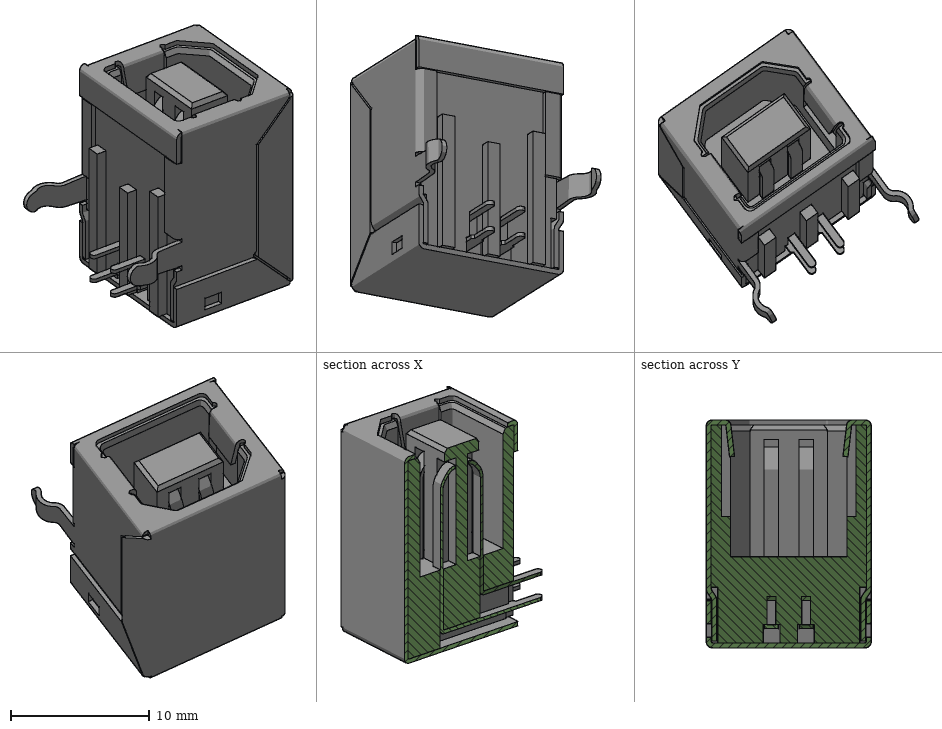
import cadquery as cq
import math


shell_width = 11.95
shell_depth = 10.63
shell_height = 16.5
wall = 0.38
bend_radius = 0.48
inner_bend = bend_radius - wall
half_width = shell_width / 2
inner_half_width = half_width - wall
inner_top = shell_height - wall
fold_gap = 0.07

coincident = 1.65e-07

flap_bottom = 13.96
return_edge_x = 4.49
return_bottom = 7.49

leg_z = 6.22
leg_root_half = 0.998
leg_end_half = 0.82
leg_end_y = -4.57
relief_bottom = 4.87

seam_width = 0.15
seam_y = 7.15
seam_corner_y = 10.15
seam_low_z = 3.48
seam_high_z = 13.08
overlap_z = 3.4
jog_start_z = 4.12
jog_end_z = 3.51
jog_bend = 0.25
jog_bottom = 0.5
layer_gap = 0.02
window_y = 3.27
window_z = 1.27
window_length = 1.5
window_height = 0.95

opening_half_width = 4.64
opening_low_y = 1.0
opening_high_y = 9.6
opening_chamfer_x = 2.77
opening_chamfer_y = 7.74
opening_corner = 0.48
chamfer_corner = 0.2

notch_radius = 0.21
notch_ys = (2.46, 6.48)
tab_low_y = notch_ys[0] + notch_radius
tab_high_y = notch_ys[1] - notch_radius
tab_kink_z = 15.97
tab_kink_bend = 0.08
tab_lean = 0.25
tab_bottom = 13.86

cavity_half_width = 4.2
cavity_low_y = 1.42
cavity_high_y = 9.15
cavity_chamfer_x = 2.57
cavity_chamfer_y = 7.5
mouth_chamfer = 0.21
mouth_depth = 0.43
cavity_floor = 6.6
cavity_corner = 0.33
tab_slot_depth = 6.6
tongue_half_width = 2.79
tongue_low_y = 3.65
tongue_high_y = 6.88
tongue_top = 16.1
tongue_chamfer = 0.25
tongue_chamfer_height = 0.33
tongue_y = (tongue_low_y + tongue_high_y) / 2
tongue_slot_top = 15.06
tongue_slot_depth = 1.07

rib_width = 1.02
rib_front_y = -0.41
rib_spacing = 3.73
outer_rib_top = 10.5
middle_rib_top = 9.03
side_pocket_x = 5.15
side_pocket_top = 4.39
tail_slot_width = 1.2
tail_slot_x = 1.24

contact_x = 1.262
contact_width = 1.02
contact_thickness = 0.3
contact_bend = 0.41
contact_bulge = 0.4
stem_distance = tongue_y - tongue_low_y + contact_bulge
lower_stem_y = tongue_y + stem_distance
upper_stem_y = tongue_y - stem_distance + contact_thickness
hook_z = 14.52
bulge_z = 13.4
hook_reach = 1.4
hook_bend_reach = 0.92
hook_bend = 0.99
bulge_bend = 1.48
tail_width = 0.61
tail_end_y = -2.43
upper_tail_z = 3.7
lower_tail_z = 1.68
lower_shoulder_y = -0.2
upper_shoulder_y = upper_stem_y - contact_thickness
shoulder_taper = 0.13


def unit(start, end):
    """Direction from start to end as a unit vector."""
    length = math.dist(start, end)
    return ((end[0] - start[0]) / length, (end[1] - start[1]) / length)


def sheet_face(path, bends, offset):
    """Lines and arcs of one sheet face, offset to the left of a path with a bend radius per corner.

    Returns the start point, the bends as (tangent, middle, tangent) points, and the end point.
    """
    directions = [unit(a, b) for a, b in zip(path, path[1:])]

    def shifted(point, direction):
        return (point[0] - offset * direction[1], point[1] + offset * direction[0])

    arcs = []
    for corner, before, after, bend in zip(path[1:], directions, directions[1:], bends):
        cross = before[0] * after[1] - before[1] * after[0]
        dot = before[0] * after[0] + before[1] * after[1]
        half_turn = math.atan2(cross, dot) / 2
        slide = offset * math.tan(half_turn)
        vertex = shifted(corner, before)
        vertex = (vertex[0] - slide * before[0], vertex[1] - slide * before[1])
        radius = bend - math.copysign(1, half_turn) * offset
        tangent = radius * math.tan(abs(half_turn))
        inward = unit(before, after)
        sagitta = radius / math.cos(half_turn) - radius
        arcs.append((
            (vertex[0] - tangent * before[0], vertex[1] - tangent * before[1]),
            (vertex[0] + sagitta * inward[0], vertex[1] + sagitta * inward[1]),
            (vertex[0] + tangent * after[0], vertex[1] + tangent * after[1]),
        ))
    return shifted(path[0], directions[0]), arcs, shifted(path[-1], directions[-1])


def bent_sheet(plane, path, bends, thickness, low, high):
    """Sheet strip whose profile follows a path, lying to its left, from low to high across the plane."""
    start, arcs, end = sheet_face(path, bends, 0)
    back_start, back_arcs, back_end = sheet_face(path, bends, thickness)
    profile = cq.Workplane(plane).moveTo(*start)
    here = start
    for first, middle, last in arcs:
        if math.dist(here, first) > coincident:
            profile = profile.lineTo(*first)
        profile = profile.threePointArc(middle, last)
        here = last
    profile = profile.lineTo(*end).lineTo(*back_end)
    here = back_end
    for first, middle, last in reversed(back_arcs):
        if math.dist(here, last) > coincident:
            profile = profile.lineTo(*last)
        profile = profile.threePointArc(middle, first)
        here = first
    if math.dist(here, back_start) > coincident:
        profile = profile.lineTo(*back_start)
    profile = profile.close()
    strip = profile.extrude(high - low)
    return strip.translate(profile.plane.zDir * low)


def block(x_range, y_range, z_range):
    """Box between two limits along each axis."""
    sizes = [limits[1] - limits[0] for limits in (x_range, y_range, z_range)]
    corner = (x_range[0], y_range[0], z_range[0])
    return cq.Workplane("XY").box(*sizes, centered=False).translate(corner)


def both_sides(left):
    """A feature on the -X side together with its mirror image on the +X side."""
    return left.union(left.mirror("YZ"))


def plug_prism(half, low, high, chamfer_x, chamfer_y, bottom, top):
    """Sharp-edged prism shaped like the plug: a rectangle whose two rear corners are cut off."""
    outline = [
        (-half, low),
        (half, low),
        (half, chamfer_y),
        (chamfer_x, high),
        (-chamfer_x, high),
        (-half, chamfer_y),
    ]
    return cq.Workplane("XY", origin=(0, 0, bottom)).polyline(outline).close().extrude(top - bottom)



def folded_box():
    """Five walls with rounded bends, open on the mounting face."""
    outer = block((-half_width, half_width), (0, shell_depth), (0, shell_height))
    outer = outer.edges("|Y or >Y").fillet(bend_radius)
    return outer.cut(shell_inside(-0.16))


def shell_inside(front_y):
    """Space inside the shell walls from front_y back to the rear wall."""
    inside = block(
        (-inner_half_width, inner_half_width), (front_y, shell_depth - wall), (wall, inner_top)
    )
    return inside.edges("|Y or >Y").fillet(inner_bend)


def corner_reliefs():
    """Notches at the four rear corners, where the bends of three walls would meet."""
    low = (-0.16, bend_radius)
    high = (shell_height - bend_radius, shell_height + 0.16)
    side = (-half_width - 0.16, -half_width + bend_radius)
    rear = (shell_depth - bend_radius, shell_depth + 0.16)
    return both_sides(block(side, rear, low).union(block(side, rear, high)))


def front_trim():
    """Material removed along the front edges where the folds and leg reliefs replace it."""
    beyond = half_width + 0.16
    upper = block((-beyond, beyond), (-0.16, bend_radius), (return_bottom, shell_height + 0.16))
    relief = block((-beyond, beyond), (-0.16, bend_radius), (relief_bottom, return_bottom))
    return upper.union(relief)


def front_folds():
    """Flap folded down from the top wall and returns folded in from the side walls."""
    flap_path = [(bend_radius, shell_height), (0, shell_height), (0, flap_bottom)]
    flap = bent_sheet("YZ", flap_path, [bend_radius], wall, -half_width, half_width)
    return_path = [(-half_width, bend_radius), (-half_width, 0), (-return_edge_x, 0)]
    side_return = bent_sheet(
        "XY", return_path, [bend_radius], wall, return_bottom, flap_bottom - fold_gap
    )
    return flap, both_sides(side_return)


def legs():
    """Kinked snap-in legs that continue the side walls and taper to a round end."""
    path = [
        (-half_width, bend_radius),
        (-half_width, -1.78),
        (-7.38, -2.6),
        (-6.55, -3.88),
        (-6.55, leg_end_y),
    ]
    strip = bent_sheet("XY", path, [0.53, 1.25, 0.48], wall, leg_z - leg_root_half, leg_z + leg_root_half)
    outline = (
        cq.Workplane("YZ")
        .moveTo(bend_radius, leg_z - leg_root_half)
        .lineTo(0, leg_z - leg_root_half)
        .lineTo(leg_end_y + leg_end_half, leg_z - leg_end_half)
        .threePointArc((leg_end_y, leg_z), (leg_end_y + leg_end_half, leg_z + leg_end_half))
        .lineTo(0, leg_z + leg_root_half)
        .lineTo(bend_radius, leg_z + leg_root_half)
        .close()
        .extrude(shell_width, both=True)
    )
    return both_sides(strip.intersect(outline))


def side_seams():
    """Gaps between each side wall and the trapezoidal tab folded onto it from the rear wall."""
    outline = [
        (shell_depth, seam_high_z + shell_depth - seam_y),
        (seam_y, seam_high_z),
        (seam_y, seam_low_z),
        (shell_depth, seam_low_z - shell_depth + seam_y),
    ]
    around = cq.Workplane("YZ", origin=(-half_width, 0, 0)).polyline(outline).close()
    tab = around.offset2D(-seam_width, "intersection").extrude(wall)
    around = cq.Workplane("YZ", origin=(-half_width, 0, 0)).polyline(outline).close().extrude(wall)
    flat = block((-half_width, 0), (0, seam_corner_y), (bend_radius, shell_height - bend_radius))
    return both_sides(around.cut(tab).intersect(flat))


def overlap_trim():
    """Part of the side walls replaced by the inward jog above the bottom flaps."""
    return both_sides(
        block((-half_width - 0.16, -inner_half_width), (-0.16, seam_y), (overlap_z, jog_start_z + jog_bend))
    )


def side_jogs():
    """Lower ends of the side walls, stepped inward to pass behind the bottom flaps."""
    inner_x = -inner_half_width + layer_gap
    path = [
        (-half_width, jog_start_z + jog_bend),
        (-half_width, jog_start_z),
        (inner_x, jog_end_z),
        (inner_x, jog_bottom),
    ]
    jog = bent_sheet("XZ", path, [jog_bend + wall, jog_bend], wall, -seam_y, 0)
    return both_sides(jog)


def flap_windows():
    """Rectangular windows in the bottom flaps."""
    y = (window_y - window_length / 2, window_y + window_length / 2)
    z = (window_z - window_height / 2, window_z + window_height / 2)
    return both_sides(block((-half_width - 0.16, -inner_half_width), y, z))


def shell_opening():
    """Plug opening in the top wall with a relief notch at each end of the spring tabs."""
    chamfer_corners = cq.selectors.BoxSelector(
        (-shell_width, opening_chamfer_y - 0.16, inner_top),
        (shell_width, shell_depth, shell_height),
    )
    opening = plug_prism(
        opening_half_width,
        opening_low_y,
        opening_high_y,
        opening_chamfer_x,
        opening_chamfer_y,
        inner_top - 0.16,
        shell_height + 0.16,
    )
    opening = opening.edges("|Z and <Y").fillet(opening_corner)
    opening = opening.edges(chamfer_corners).fillet(chamfer_corner)
    spots = [(side * opening_half_width, y) for side in (-1, 1) for y in notch_ys]
    notches = cq.Workplane("XY", origin=(0, 0, inner_top - 0.16)).pushPoints(spots)
    return opening.union(notches.circle(notch_radius).extrude(wall + 0.33))


def spring_tabs():
    """Tabs rolled down from the top wall into the opening, narrowing toward their lower ends."""
    bend_x = -opening_half_width + bend_radius
    tip_x = bend_x + tab_lean
    path = [
        (tip_x, tab_bottom),
        (bend_x, tab_kink_z),
        (bend_x, shell_height),
        (-opening_half_width - notch_radius, shell_height),
    ]
    tab = bent_sheet("XZ", path, [tab_kink_bend, bend_radius], wall, -tab_high_y, -tab_low_y)
    taper_top = shell_height - bend_radius
    outline = (
        cq.Workplane("YZ")
        .polyline([
            (tab_low_y + tab_lean, tab_bottom - 0.16),
            (tab_low_y, taper_top),
            (tab_low_y, shell_height),
            (tab_high_y, shell_height),
            (tab_high_y, taper_top),
            (tab_high_y - tab_lean, tab_bottom - 0.16),
        ])
        .close()
        .extrude(shell_width, both=True)
    )
    return both_sides(tab.intersect(outline))


def build_shell():
    shell = folded_box().cut(corner_reliefs()).cut(front_trim()).cut(side_seams()).cut(overlap_trim())
    shell = shell.cut(flap_windows()).cut(shell_opening())
    flap, returns = front_folds()
    for fold in (flap, returns, legs(), side_jogs(), spring_tabs()):
        shell = shell.union(fold)
    return shell



def build_contact(x, toward_tongue, tail_top, shoulder):
    """Contact with a hooked spring top, a straight stem and a tail toward -Y.

    toward_tongue is +1 for the row in front of the tongue and -1 for the row behind it.
    The tail narrows where y falls below the shoulder.
    """
    stem_y = tongue_y - toward_tongue * stem_distance
    if toward_tongue > 0:
        tail_z = tail_top
        tail_bend = contact_bend - contact_thickness
    else:
        tail_z = tail_top - contact_thickness
        tail_bend = contact_bend
    path = [
        (stem_y + toward_tongue * hook_reach, hook_z),
        (stem_y + toward_tongue * hook_bend_reach, hook_z),
        (stem_y, bulge_z),
        (stem_y, tail_z),
        (tail_end_y, tail_z),
    ]
    bends = [hook_bend, bulge_bend, tail_bend]
    thickness = toward_tongue * contact_thickness
    strip = bent_sheet("YZ", path, bends, thickness, x - contact_width / 2, x + contact_width / 2)
    return strip.intersect(contact_outline(x, shoulder))


def contact_outline(x, shoulder):
    """Tall prism over the contact's plan: full width, shoulders, narrow tail and round tip."""
    wide = contact_width / 2
    narrow = tail_width / 2
    return (
        cq.Workplane("XY")
        .moveTo(x - wide, shell_depth)
        .lineTo(x - wide, shoulder)
        .lineTo(x - narrow, shoulder - shoulder_taper)
        .lineTo(x - narrow, tail_end_y + narrow)
        .threePointArc((x, tail_end_y), (x + narrow, tail_end_y + narrow))
        .lineTo(x + narrow, shoulder - shoulder_taper)
        .lineTo(x + wide, shoulder)
        .lineTo(x + wide, shell_depth)
        .close()
        .extrude(shell_height)
    )


def build_contacts():
    """Two contacts in front of the tongue and two behind it."""
    contacts = []
    for x in (-contact_x, contact_x):
        contacts.append(build_contact(x, 1, upper_tail_z, upper_shoulder_y))
        contacts.append(build_contact(x, -1, lower_tail_z, lower_shoulder_y))
    return contacts



def cavity():
    """Plug cavity with rounded corners and a chamfered mouth."""
    hollow = plug_prism(
        cavity_half_width,
        cavity_low_y,
        cavity_high_y,
        cavity_chamfer_x,
        cavity_chamfer_y,
        cavity_floor,
        inner_top,
    )
    hollow = hollow.edges("|Z").fillet(cavity_corner)
    lean = math.degrees(math.atan2(mouth_chamfer, mouth_depth))
    rim = hollow.faces(">Z").wires().toPending().offset2D(mouth_chamfer)
    mouth = rim.extrude(-mouth_depth, combine=False, taper=lean)
    return hollow.union(mouth)


def tongue():
    """Tongue standing in the cavity, with a chamfered top and a slot for every contact."""
    half_depth = (tongue_high_y - tongue_low_y) / 2
    body = block(
        (-tongue_half_width, tongue_half_width), (tongue_low_y, tongue_high_y), (cavity_floor, tongue_top)
    )
    body = body.faces(">Z").chamfer(tongue_chamfer_height, tongue_chamfer)
    for x in (-contact_x, contact_x):
        slots = block(
            (x - contact_width / 2, x + contact_width / 2),
            (tongue_low_y, tongue_high_y),
            (cavity_floor, tongue_slot_top),
        )
        core = half_depth - tongue_slot_depth
        web = block(
            (-tongue_half_width, tongue_half_width),
            (tongue_y - core, tongue_y + core),
            (cavity_floor, tongue_slot_top),
        )
        body = body.cut(slots.cut(web))
    return body


def ribs():
    """Standoff ribs along the mounting face."""
    tops = {-rib_spacing: outer_rib_top, 0: middle_rib_top, rib_spacing: outer_rib_top}
    standing = cq.Workplane("XY")
    for x, top in tops.items():
        standing = standing.union(block((x - rib_width / 2, x + rib_width / 2), (rib_front_y, wall + 0.16), (wall, top)))
    return standing


def tail_slots():
    """Stepped slots that let the contact tails out through the mounting face."""
    slots = cq.Workplane("XY")
    for side in (-1, 1):
        center = side * tail_slot_x
        stem = side * contact_x
        half = tail_slot_width / 2
        lower = block((center - half, center + half), (0, lower_stem_y), (wall, lower_tail_z))
        upper = block(
            (stem - tail_width / 2, stem + tail_width / 2), (0, upper_stem_y), (lower_tail_z, upper_tail_z)
        )
        slots = slots.union(lower).union(upper)
    return slots


def side_pockets():
    """Pockets behind the stepped-in lower ends of the shell's side walls."""
    return both_sides(
        block((-half_width, -side_pocket_x), (0, seam_y), (wall, side_pocket_top))
    )


def tab_slots():
    """Clearance slots in the cavity's side walls for the shell's spring tabs."""
    return both_sides(
        block(
            (-opening_half_width - notch_radius, -opening_half_width + bend_radius + tab_lean),
            notch_ys,
            (inner_top - tab_slot_depth, inner_top),
        )
    )


def build_housing(contacts):
    housing = shell_inside(wall).cut(cavity()).union(tongue()).union(ribs())
    housing = housing.cut(tail_slots()).cut(side_pockets()).cut(tab_slots())
    for contact in contacts:
        housing = housing.cut(contact)
    return housing


shell = build_shell()
contacts = build_contacts()
housing = build_housing(contacts)

result = cq.Compound.makeCompound(
    [shell.val(), housing.val(), *[contact.val() for contact in contacts]]
)